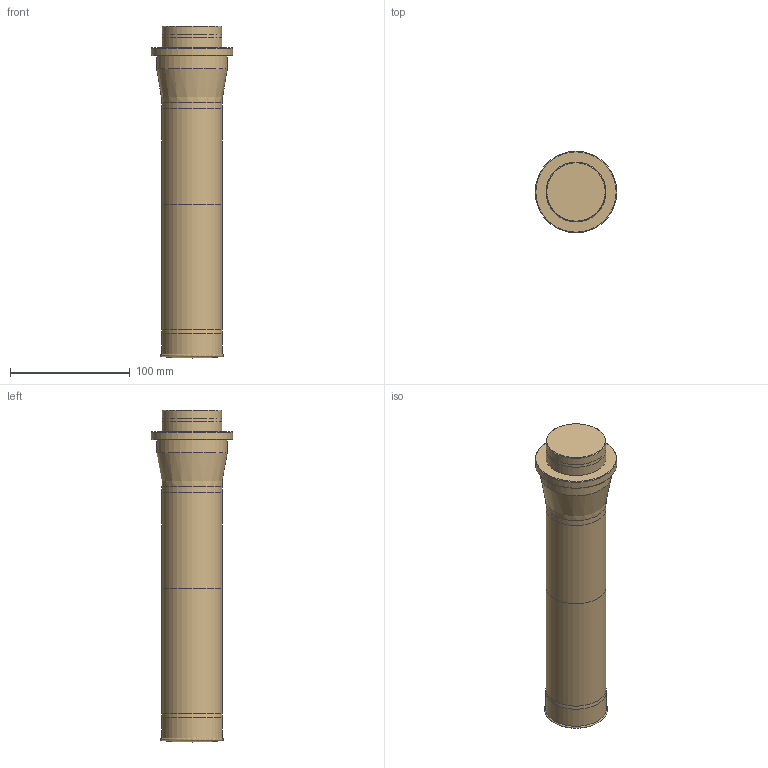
import cadquery as cq

TIP_DIAMETER = 49.7
SPIGOT_DIAMETER = 49.99
FLANGE_DIAMETER = 68.0
COLLAR_DIAMETER = 59.0
TUBE_DIAMETER = 50.18
WAIST_DIAMETER = 49.7
END_DIAMETER = 50.7
CAP_RIM_DIAMETER = 52.5

TOTAL_LENGTH = 276.98
TIP_LENGTH = 7.0
TIP_TAPER_LENGTH = 2.5
SPIGOT_LENGTH = 18.0
FLANGE_THICKNESS = 7.0
COLLAR_LENGTH = 10.5
FLARE_LENGTH = 28.5
FLARE_BEND_LENGTH = 5.0
BAND_LENGTH = 5.0
WAIST_LENGTH = 80.0
WAIST_BLEND_LENGTH = 14.0
TUBE_LENGTH = 104.5
END_TAPER_LENGTH = 3.0
EDGE_CHAMFER = 0.5

CAP_HEIGHT = 3.0
CAP_RIM_HEIGHT = 2.1
DOME_EDGE_DIAMETER = 50.0
DOME_RISE = 1.1

top_z = TOTAL_LENGTH
tip_end_z = top_z - TIP_LENGTH
spigot_top_z = tip_end_z - TIP_TAPER_LENGTH
flange_top_z = top_z - SPIGOT_LENGTH
flange_bottom_z = flange_top_z - FLANGE_THICKNESS
flare_top_z = flange_bottom_z - COLLAR_LENGTH
flare_bottom_z = flare_top_z - FLARE_LENGTH
waist_top_z = flare_bottom_z - BAND_LENGTH
waist_bottom_z = waist_top_z - WAIST_LENGTH
tube_bottom_z = waist_bottom_z - TUBE_LENGTH
end_top_z = tube_bottom_z - END_TAPER_LENGTH
end_bottom_z = CAP_HEIGHT


def revolve_about_axis(profile):
    """Full turn of a half profile about the Z axis."""
    return profile.revolve(360, (0, 0, 0), (0, 1, 0))


def make_handle():
    """Solid of revolution: spigot, flange, flared collar, waisted tube and end."""
    tip_radius = TIP_DIAMETER / 2
    spigot_radius = SPIGOT_DIAMETER / 2
    flange_radius = FLANGE_DIAMETER / 2
    collar_radius = COLLAR_DIAMETER / 2
    tube_radius = TUBE_DIAMETER / 2
    end_radius = END_DIAMETER / 2
    waist_radius = WAIST_DIAMETER / 2
    cone_length = FLARE_LENGTH - FLARE_BEND_LENGTH / 2
    cone_slope = (collar_radius - tube_radius) / cone_length
    cone_direction = (-cone_slope, -1)
    straight_down = (0, -1)
    flare_directions = [cone_direction, cone_direction, straight_down]
    flare_bend = (tube_radius + cone_slope * FLARE_BEND_LENGTH / 2, flare_bottom_z + FLARE_BEND_LENGTH)
    flare_end = (tube_radius, flare_bottom_z)
    waist_curve = [
        (waist_radius, waist_top_z - WAIST_BLEND_LENGTH),
        (waist_radius, waist_bottom_z + WAIST_BLEND_LENGTH),
        (tube_radius, waist_bottom_z),
    ]
    profile = (
        cq.Workplane("XZ")
        .moveTo(0, top_z)
        .lineTo(tip_radius - EDGE_CHAMFER, top_z)
        .lineTo(tip_radius, top_z - EDGE_CHAMFER)
        .lineTo(tip_radius, tip_end_z)
        .lineTo(spigot_radius, spigot_top_z)
        .lineTo(spigot_radius, flange_top_z)
        .lineTo(flange_radius - EDGE_CHAMFER, flange_top_z)
        .lineTo(flange_radius, flange_top_z - EDGE_CHAMFER)
        .lineTo(flange_radius, flange_bottom_z + EDGE_CHAMFER)
        .lineTo(flange_radius - EDGE_CHAMFER, flange_bottom_z)
        .lineTo(collar_radius, flange_bottom_z)
        .lineTo(collar_radius, flare_top_z)
        .spline([flare_bend, flare_end], tangents=flare_directions, includeCurrent=True)
        .lineTo(tube_radius, waist_top_z)
        .spline(waist_curve, includeCurrent=True)
        .lineTo(tube_radius, tube_bottom_z)
        .lineTo(end_radius, end_top_z)
        .lineTo(end_radius, end_bottom_z)
        .lineTo(0, end_bottom_z)
        .close()
    )
    return revolve_about_axis(profile)


def make_cap():
    """Domed end cap whose bulging rim stands proud of the handle."""
    end_radius = END_DIAMETER / 2
    rim_radius = CAP_RIM_DIAMETER / 2
    outline = [
        (DOME_EDGE_DIAMETER / 2, DOME_RISE),
        (rim_radius, CAP_RIM_HEIGHT),
        (end_radius, end_bottom_z),
    ]
    outward = (1, 0)
    dome_edge_direction = (DOME_EDGE_DIAMETER / 2, 2 * DOME_RISE)
    upward = (0, 1)
    inward = (-1, 0)
    directions = [outward, dome_edge_direction, upward, inward]
    profile = (
        cq.Workplane("XZ")
        .moveTo(0, 0)
        .spline(outline, tangents=directions, includeCurrent=True)
        .lineTo(0, end_bottom_z)
        .close()
    )
    return revolve_about_axis(profile)


handle = make_handle()
cap = make_cap()

result = cq.Compound.makeCompound([handle.val(), cap.val()])